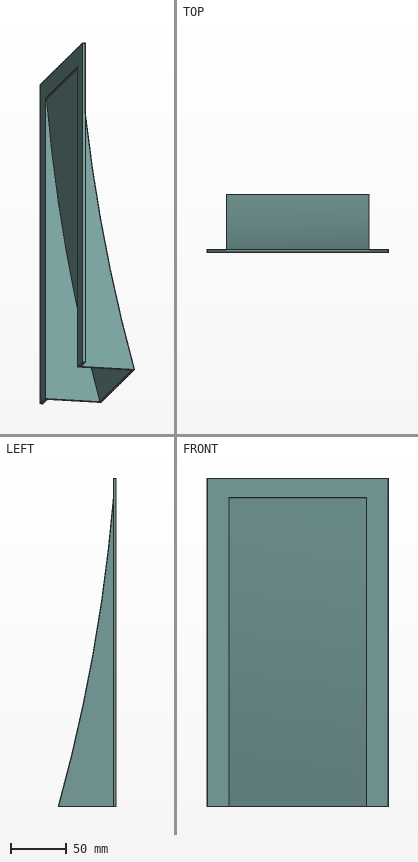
import cadquery as cq

plate_width = 164.5
plate_height = 297.5
plate_thickness = 2.5

side_border = 20.0
top_border = 17.5
opening_width = plate_width - 2 * side_border
opening_height = plate_height - top_border

side_wall = 2.5
total_depth = 52.5
back_radius = 1525.0
hood_width = opening_width + 2 * side_wall
hood_height = opening_height

lip_height = 1.0
sheet_bottom_depth = 1.5
cavity_top_depth = plate_thickness / 2
cavity_bottom_depth = total_depth - sheet_bottom_depth


def curved_solid(width, bottom_depth, top_depth, curve_height, lip=0.0):
    """Solid from Y = 0 back to a concave arc, with an optional flat lip above the arc."""
    chord = ((bottom_depth - top_depth) ** 2 + curve_height ** 2) ** 0.5
    sagitta = back_radius - (back_radius ** 2 - (chord / 2) ** 2) ** 0.5
    outline = (
        cq.Workplane("YZ")
        .moveTo(0, 0)
        .lineTo(bottom_depth, 0)
        .sagittaArc((top_depth, curve_height), sagitta)
    )
    if lip > 0:
        outline = outline.line(0, lip)
    return outline.lineTo(0, curve_height + lip).close().extrude(width / 2, both=True)


plate = cq.Workplane("XY").box(plate_width, plate_thickness, plate_height, centered=(True, False, False))
hood = curved_solid(hood_width, total_depth, plate_thickness, hood_height)
cavity = curved_solid(
    opening_width, cavity_bottom_depth, cavity_top_depth, opening_height - lip_height, lip_height
)

result = plate.union(hood).cut(cavity)